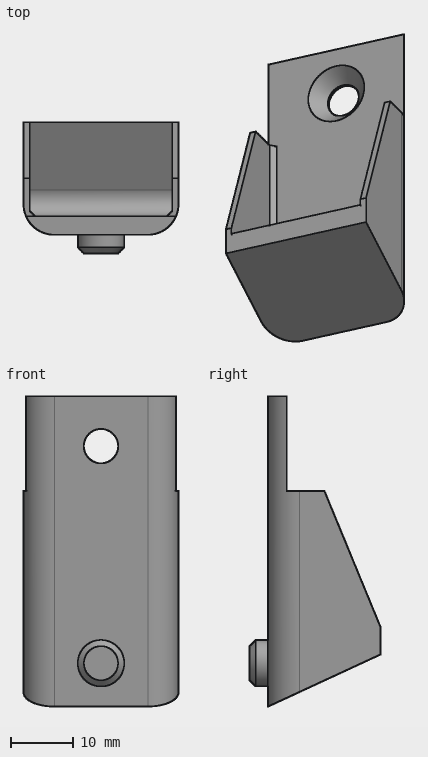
import cadquery as cq
import math

width = 25.0
depth = 18.15
height = 50.0
corner_radius = 5.0

plate_thickness = 3.05
side_thickness = 1.0
floor_thickness = plate_thickness

shoulder_height = 34.75
shoulder_depth = 9.1
rear_top_height = 12.8
rear_bottom_height = 8.4

floor_fillet = 3.0
side_chamfer = 0.85

hole_diameter = 5.5
hole_height = 41.95
countersink_diameter = 10.0
countersink_angle = 82.0
stud_diameter = 7.5
stud_length = 3.0
stud_chamfer = 1.0
stud_height = 7.0

floor_slope = rear_bottom_height / depth
floor_rise = floor_thickness * math.hypot(1, floor_slope)
countersink_depth = (
    (countersink_diameter - hole_diameter) / 2 / math.tan(math.radians(countersink_angle / 2))
)
inner_width = width - 2 * side_thickness


def extrude_profile(points, profile_width):
    """Extrude a (Y, Z) outline along X, centred on X = 0."""
    return cq.Workplane("YZ").polyline(points).close().extrude(profile_width / 2, both=True)


def make_outer_body():
    body = extrude_profile(
        [
            (0, 0),
            (depth, rear_bottom_height),
            (depth, rear_top_height),
            (shoulder_depth, shoulder_height),
            (plate_thickness, shoulder_height),
            (plate_thickness, height),
            (0, height),
        ],
        width,
    )
    column = (
        cq.Workplane("XY")
        .rect(width, 2 * depth)
        .extrude(height)
        .edges("|Z and <Y")
        .fillet(corner_radius)
        .translate((0, depth, 0))
    )
    return body.intersect(column)


def make_cavity():
    """Space between the sides, above the sloping floor and behind the plate."""
    def floor_top(y):
        return floor_rise + floor_slope * y

    cavity = extrude_profile(
        [
            (plate_thickness, floor_top(plate_thickness)),
            (depth, floor_top(depth)),
            (depth, height),
            (plate_thickness, height),
        ],
        inner_width,
    )
    cavity = cavity.edges("|X and <Y and <Z").fillet(floor_fillet)

    column = (
        cq.Workplane("XY")
        .rect(inner_width, 2 * depth)
        .extrude(height)
        .edges("|Z and <Y")
        .chamfer(side_chamfer)
        .translate((0, depth + plate_thickness, 0))
    )
    return cavity.intersect(column)


def make_hole():
    """Through hole with a conical countersink opening at the rear of the plate."""
    return (
        cq.Workplane("XZ", origin=(0, plate_thickness, hole_height))
        .circle(countersink_diameter / 2)
        .extrude(countersink_depth, taper=countersink_angle / 2)
        .faces("<Y")
        .workplane()
        .circle(hole_diameter / 2)
        .extrude(plate_thickness - countersink_depth)
    )


def make_stud():
    return (
        cq.Workplane("XZ")
        .center(0, stud_height)
        .circle(stud_diameter / 2)
        .extrude(stud_length)
        .faces("<Y")
        .chamfer(stud_chamfer)
    )


result = make_outer_body().cut(make_cavity()).cut(make_hole()).union(make_stud())